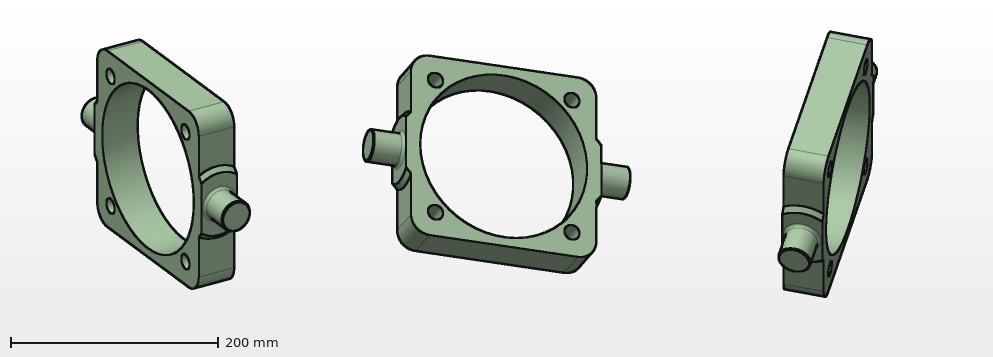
import cadquery as cq

frame_side = 190.0
frame_depth = 40.0
corner_radius = 19.0
bore_diameter = 171.0

hole_spacing = 140.0
hole_diameter = 15.3

overall_length = 264.0
pad_height = 5.0
pad_face_radius = 33.5
pad_base_radius = pad_face_radius + pad_height
pin_diameter = 32.0
pin_root_fillet = 3.0
pin_end_chamfer = 1.0

half_side = frame_side / 2
half_length = overall_length / 2
pin_radius = pin_diameter / 2
pad_face_x = half_side + pad_height
embed_depth = (frame_side - bore_diameter) / 4


def make_frame():
    """Square plate with rounded corners."""
    return (
        cq.Workplane("XY")
        .box(frame_side, frame_depth, frame_side)
        .edges("|Y")
        .fillet(corner_radius)
    )


def make_trunnion():
    """Conical pad and filleted pin on +X, trimmed to the frame depth."""
    fillet_mid = pin_root_fillet * (1 - 0.5**0.5)
    profile = (
        cq.Workplane("XY")
        .moveTo(half_side - embed_depth, 0)
        .lineTo(half_side - embed_depth, pad_base_radius)
        .lineTo(half_side, pad_base_radius)
        .lineTo(pad_face_x, pad_face_radius)
        .lineTo(pad_face_x, pin_radius + pin_root_fillet)
        .threePointArc(
            (pad_face_x + fillet_mid, pin_radius + fillet_mid),
            (pad_face_x + pin_root_fillet, pin_radius),
        )
        .lineTo(half_length - pin_end_chamfer, pin_radius)
        .lineTo(half_length, pin_radius - pin_end_chamfer)
        .lineTo(half_length, 0)
        .close()
    )
    turned = profile.revolve(360, (0, 0, 0), (1, 0, 0))
    depth_limit = cq.Workplane("XY").box(overall_length, frame_depth, frame_side)
    return turned.intersect(depth_limit)


trunnion = make_trunnion()
body = make_frame().union(trunnion).union(trunnion.mirror("YZ"))

front_face = cq.Workplane("XZ", origin=(0, -frame_depth / 2, 0))
bore = front_face.circle(bore_diameter / 2).extrude(-frame_depth)
bolt_holes = (
    front_face.rect(hole_spacing, hole_spacing, forConstruction=True)
    .vertices()
    .circle(hole_diameter / 2)
    .extrude(-frame_depth)
)

result = body.cut(bore).cut(bolt_holes)